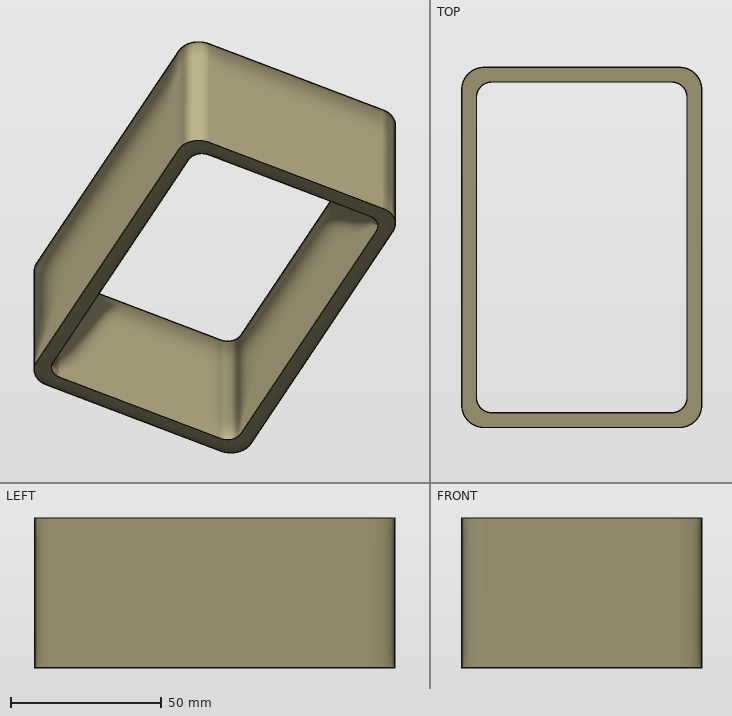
import cadquery as cq

outer_width = 80.0
outer_length = 120.0
height = 50.0
wall = 5.0
outer_corner_radius = 7.5
inner_corner_radius = 5.0


def rounded_block(width, length, corner_radius):
    """Full-height block centred on Z, standing on Z = 0, with rounded vertical edges."""
    block = cq.Workplane("XY").rect(width, length).extrude(height)
    return block.edges("|Z").fillet(corner_radius)


outer_body = rounded_block(outer_width, outer_length, outer_corner_radius)
opening = rounded_block(outer_width - 2 * wall, outer_length - 2 * wall, inner_corner_radius)

result = outer_body.cut(opening)